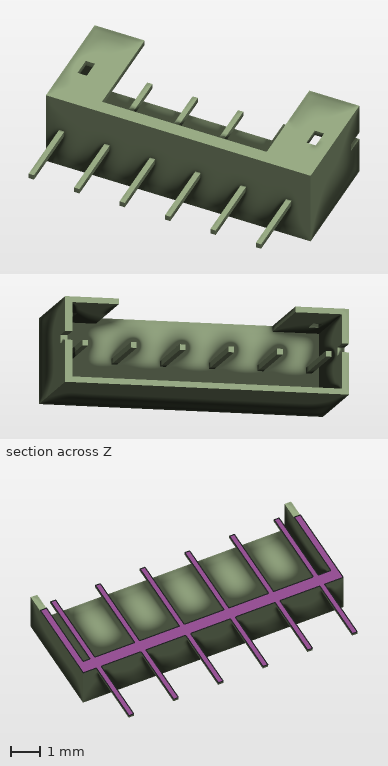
import cadquery as cq

length = 10
depth = 4
height = 3
back_wall = 0.5
side_wall = 0.25
floor_thickness = 0.2
roof_thickness = 0.2

roof_opening_width = 6.22

window_width = 0.35
window_depth = 0.68
window_end_margin = 0.5
window_front = 1.51

slot_depth = 0.7
slot_height = 0.3
slot_bottom = 1.48

pin_count = 6
pin_row_span = 8.58
pin_pitch = pin_row_span / (pin_count - 1)
pin_width = 0.2
pin_height = 0.2
pin_bottom = 1.4
pin_end_margin = 0.5
pin_tail = 2.5
pin_tip = 3.5


def block(x_start, y_start, z_start, x_size, y_size, z_size):
    """Box placed by its lowest corner."""
    corner = (x_start, y_start, z_start)
    return cq.Workplane("XY").box(x_size, y_size, z_size, centered=False).translate(corner)


left = -length / 2


def make_housing():
    cavity_length = length - 2 * side_wall
    cavity_height = height - floor_thickness - roof_thickness
    cavity_depth = depth - back_wall
    roof_bottom = height - roof_thickness

    housing = block(left, 0, 0, length, depth, height)
    housing = housing.cut(
        block(left + side_wall, back_wall, floor_thickness, cavity_length, cavity_depth, cavity_height)
    )
    housing = housing.cut(
        block(-roof_opening_width / 2, back_wall, roof_bottom,
              roof_opening_width, cavity_depth, roof_thickness)
    )

    window_left = left + window_end_margin
    for window_x in (window_left, -window_left - window_width):
        housing = housing.cut(
            block(window_x, window_front, roof_bottom, window_width, window_depth, roof_thickness)
        )

    return housing.cut(block(left, depth - slot_depth, slot_bottom, length, slot_depth, slot_height))


def add_pins(body):
    for index in range(pin_count):
        pin_x = left + pin_end_margin + index * pin_pitch
        body = body.union(
            block(pin_x, -pin_tail, pin_bottom, pin_width, pin_tail + pin_tip, pin_height)
        )
    return body


result = add_pins(make_housing())